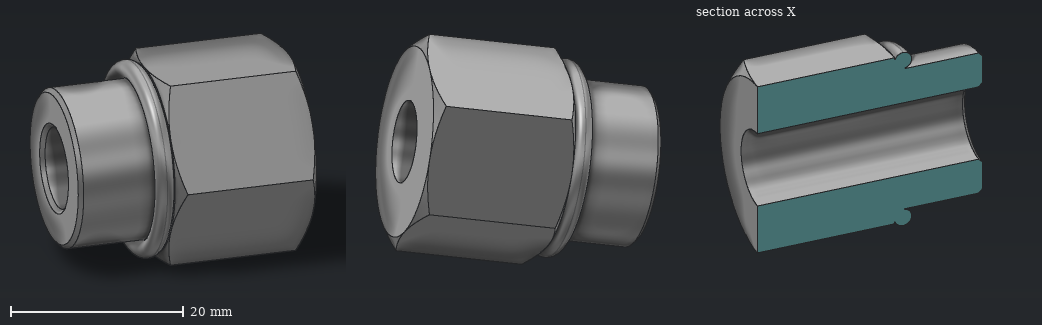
import math
import cadquery as cq

HEX_ACROSS_CORNERS = 25.81
HEX_LENGTH = 17.33
TOTAL_LENGTH = 28.45
HEX_CHAMFER_ANGLE = 30.0
SPIGOT_DIAMETER = 18.9
SPIGOT_CHAMFER = 0.5
RING_OUTER_DIAMETER = 23.32
RING_SECTION_DIAMETER = 2.22
RING_EMBED = 0.02
BORE_DIAMETER = 9.65
BORE_CHAMFER = 0.5

HEX_ACROSS_FLATS = HEX_ACROSS_CORNERS * math.cos(math.pi / 6)
SPIGOT_LENGTH = TOTAL_LENGTH - HEX_LENGTH
RING_SECTION_RADIUS = RING_SECTION_DIAMETER / 2
RING_CENTRE_RADIUS = RING_OUTER_DIAMETER / 2 - RING_SECTION_RADIUS

SHOULDER_Y = 0.0
HEX_END_Y = SHOULDER_Y + HEX_LENGTH
SPIGOT_END_Y = SHOULDER_Y - SPIGOT_LENGTH
RING_CENTRE_Y = SHOULDER_Y + RING_EMBED - RING_SECTION_RADIUS


def revolve_about_y(profile):
    """Revolve a closed profile, drawn as (radius, Y), around the Y axis."""
    return profile.revolve(360, (0, 0), (0, 1))


def chamfered_hexagon():
    """Hexagon with corners on the X axis, its corners turned off conically at both ends."""
    prism = (
        cq.Workplane("XZ", origin=(0, SHOULDER_Y, 0))
        .polygon(6, HEX_ACROSS_CORNERS)
        .extrude(-HEX_LENGTH)
    )
    face_radius = HEX_ACROSS_FLATS / 2
    corner_radius = HEX_ACROSS_CORNERS / 2
    corner_drop = (corner_radius - face_radius) * math.tan(math.radians(HEX_CHAMFER_ANGLE))
    envelope_radius = 2 * corner_radius - face_radius
    envelope_drop = 2 * corner_drop
    envelope = revolve_about_y(
        cq.Workplane("XY").polyline([
            (0, SHOULDER_Y),
            (face_radius, SHOULDER_Y),
            (envelope_radius, SHOULDER_Y + envelope_drop),
            (envelope_radius, HEX_END_Y - envelope_drop),
            (face_radius, HEX_END_Y),
            (0, HEX_END_Y),
        ]).close()
    )
    return prism.intersect(envelope)


def spigot():
    """Plain cylinder with a chamfered free end."""
    return (
        cq.Workplane("XZ", origin=(0, SHOULDER_Y, 0))
        .circle(SPIGOT_DIAMETER / 2)
        .extrude(SPIGOT_LENGTH)
        .faces("<Y").chamfer(SPIGOT_CHAMFER)
    )


def sealing_ring():
    """Round-section ring seated in the corner between the spigot and the shoulder."""
    ring = revolve_about_y(
        cq.Workplane("XY")
        .moveTo(RING_CENTRE_RADIUS, RING_CENTRE_Y)
        .circle(RING_SECTION_RADIUS)
    )
    collar = (
        cq.Workplane("XZ", origin=(0, SHOULDER_Y, 0))
        .circle(RING_CENTRE_RADIUS)
        .extrude(SHOULDER_Y - RING_CENTRE_Y)
    )
    return ring.union(collar)


def bore():
    """Through bore with a countersunk mouth at the spigot end."""
    radius = BORE_DIAMETER / 2
    return revolve_about_y(
        cq.Workplane("XY").polyline([
            (0, SPIGOT_END_Y),
            (radius + BORE_CHAMFER, SPIGOT_END_Y),
            (radius, SPIGOT_END_Y + BORE_CHAMFER),
            (radius, HEX_END_Y),
            (0, HEX_END_Y),
        ]).close()
    )


result = chamfered_hexagon().union(spigot()).union(sealing_ring()).cut(bore())